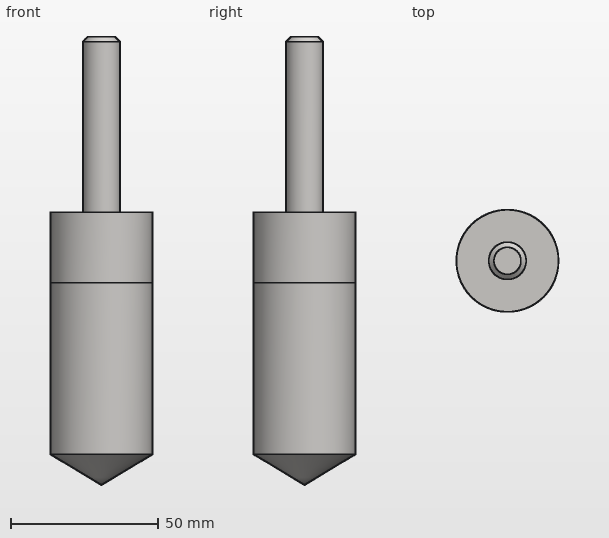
import cadquery as cq
import math

overall_length = 152.4
body_diameter = 34.8
body_radius = body_diameter / 2

point_angle = 118.0
point_height = body_radius / math.tan(math.radians(point_angle / 2))

shank_diameter = 12.7
shank_length = 59.7
shank_chamfer = 1.75

collar_length = 24.0
collar_top = overall_length - shank_length
collar_bottom = collar_top - collar_length


def make_holder():
    """Collar and shank turned as one piece, standing on the head."""
    shank_radius = shank_diameter / 2
    profile = (
        cq.Workplane("XZ")
        .moveTo(0, collar_bottom)
        .lineTo(body_radius, collar_bottom)
        .lineTo(body_radius, collar_top)
        .lineTo(shank_radius, collar_top)
        .lineTo(shank_radius, overall_length - shank_chamfer)
        .lineTo(shank_radius - shank_chamfer, overall_length)
        .lineTo(0, overall_length)
        .close()
    )
    return profile.revolve(360, (0, 0), (0, 1))


def make_head():
    """Cylindrical head ending in a conical point, below the collar."""
    profile = (
        cq.Workplane("XZ")
        .lineTo(body_radius, point_height)
        .lineTo(body_radius, collar_bottom)
        .lineTo(0, collar_bottom)
        .close()
    )
    return profile.revolve(360, (0, 0), (0, 1))


holder = make_holder()
head = make_head()
result = cq.Compound.makeCompound([holder.val(), head.val()])